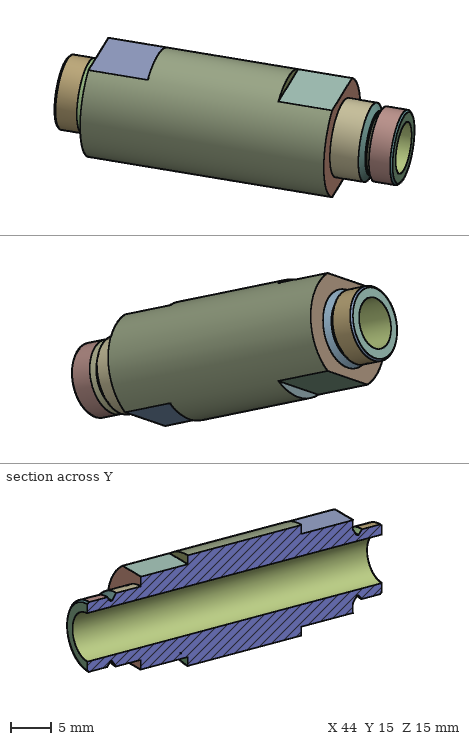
import cadquery as cq

total_length = 44.0
body_radius = 7.5
bore_radius = 3.25

collar_radius = 4.75
collar_length = 3.0
end_chamfer = 0.25
groove_floor_radius = 4.1
groove_floor_width = 0.2
collar_flank_width = 0.5
shoulder_radius = 5.0
shoulder_flank_width = 0.6
long_shoulder_length = 3.7

across_flats = 12.6
full_round_length = 17.0
left_flat_length = 7.7

end_x = total_length / 2
groove_outer_x = end_x - collar_length
groove_floor_outer_x = groove_outer_x - collar_flank_width
groove_floor_inner_x = groove_floor_outer_x - groove_floor_width
shoulder_x = groove_floor_inner_x - shoulder_flank_width
body_left_x = -shoulder_x
body_right_x = shoulder_x - long_shoulder_length
left_flat_end_x = body_left_x + left_flat_length
right_flat_start_x = left_flat_end_x + full_round_length


def spigot_profile():
    """Points (x, radius) of the right-hand spigot, from the shoulder out to the end face."""
    return [
        (shoulder_x, shoulder_radius),
        (groove_floor_inner_x, groove_floor_radius),
        (groove_floor_outer_x, groove_floor_radius),
        (groove_outer_x, collar_radius),
        (end_x - end_chamfer, collar_radius),
        (end_x, collar_radius - end_chamfer),
    ]


def turned_body():
    """Revolve the outer outline and the through bore as one hollow solid."""
    right_spigot = spigot_profile()
    left_spigot = [(-x, radius) for x, radius in reversed(right_spigot)]
    outline = [
        (-end_x, bore_radius),
        *left_spigot,
        (body_left_x, body_radius),
        (body_right_x, body_radius),
        (body_right_x, shoulder_radius),
        *right_spigot,
        (end_x, bore_radius),
    ]
    return cq.Workplane("XY").polyline(outline).close().revolve(360, (0, 0, 0), (1, 0, 0))


def flat_cutter(start_x, stop_x, side):
    """Block that removes the body beyond one flat; side is +1 for the top, -1 for the bottom."""
    cut_depth = body_radius - across_flats / 2
    centre = ((start_x + stop_x) / 2, 0, side * (across_flats + cut_depth) / 2)
    return cq.Workplane("XY").box(stop_x - start_x, 2 * body_radius, cut_depth).translate(centre)


result = turned_body()
for flat_start, flat_stop in ((body_left_x, left_flat_end_x), (right_flat_start_x, body_right_x)):
    for flat_side in (1, -1):
        result = result.cut(flat_cutter(flat_start, flat_stop, flat_side))